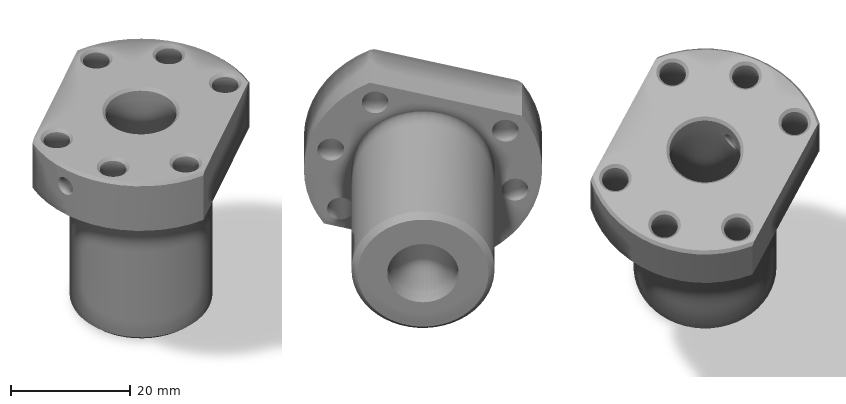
import cadquery as cq
import math

total_height = 40.0
flange_diameter = 40.0
flange_width = 30.0
flange_thickness = 10.0
body_diameter = 24.0
bore_diameter = 12.0

body_chamfer = 1.0
top_chamfer = body_chamfer / 2

bolt_circle_radius = 16.0
bolt_hole_diameter = 4.5
bolt_hole_angles = (45, 90, 135, 225, 270, 315)

oil_hole_diameter = 3.0
oil_hole_depth_below_top = 4.0
oil_hole_angle = (bolt_hole_angles[3] + bolt_hole_angles[4]) / 2
oil_hole_chamfer = 0.25

flange_bottom = total_height - flange_thickness


def make_flange():
    """Round flange with a chamfered top rim, trimmed to two flat sides."""
    disc = (
        cq.Workplane("XY")
        .workplane(offset=flange_bottom)
        .circle(flange_diameter / 2)
        .extrude(flange_thickness)
        .faces(">Z")
        .chamfer(top_chamfer)
    )
    trim = cq.Workplane("XY").box(
        flange_width, flange_diameter, total_height, centered=(True, True, False)
    )
    return disc.intersect(trim)


def make_body():
    """Cylindrical body with a chamfered lower end."""
    return (
        cq.Workplane("XY")
        .circle(body_diameter / 2)
        .extrude(flange_bottom)
        .faces("<Z")
        .chamfer(body_chamfer)
    )


def hole_tool(mouth, direction, diameter, depth, chamfer):
    """Drill shape running inward from the mouth, with a 45 degree countersink."""
    radius = diameter / 2
    drill = cq.Solid.makeCylinder(radius, depth, mouth, direction)
    countersink = cq.Solid.makeCone(
        radius + 2 * chamfer, radius, 2 * chamfer, mouth - direction * chamfer, direction
    )
    return drill.fuse(countersink)


def make_oil_hole():
    """Radial hole from the flange rim into the bore."""
    angle = math.radians(oil_hole_angle)
    outward = cq.Vector(math.cos(angle), math.sin(angle), 0)
    height = cq.Vector(0, 0, total_height - oil_hole_depth_below_top)
    mouth = outward * (flange_diameter / 2) + height
    return hole_tool(mouth, -outward, oil_hole_diameter, flange_diameter / 2, oil_hole_chamfer)


down = cq.Vector(0, 0, -1)

result = make_flange().union(make_body())

bore_mouth = cq.Vector(0, 0, total_height)
result = result.cut(hole_tool(bore_mouth, down, bore_diameter, total_height, top_chamfer))

for hole_angle in bolt_hole_angles:
    x = bolt_circle_radius * math.cos(math.radians(hole_angle))
    y = bolt_circle_radius * math.sin(math.radians(hole_angle))
    bolt_mouth = cq.Vector(x, y, total_height)
    result = result.cut(hole_tool(bolt_mouth, down, bolt_hole_diameter, flange_thickness, top_chamfer))

result = result.cut(make_oil_hole())